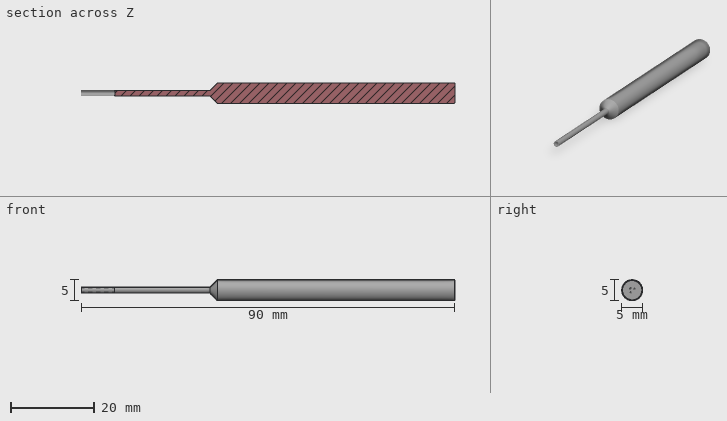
import cadquery as cq

total_length = 90.0
shank_diameter = 5.0
tip_diameter = 1.4
tip_length = 31.0
end_chamfer = 0.2
bore_diameter = 1.0
bore_depth = 8.0

shank_radius = shank_diameter / 2
tip_radius = tip_diameter / 2
shoulder_end = tip_length + shank_radius - tip_radius

half_outline = (
    cq.Workplane("XY")
    .moveTo(0, 0)
    .lineTo(0, tip_radius)
    .lineTo(tip_length, tip_radius)
    .lineTo(shoulder_end, shank_radius)
    .lineTo(total_length - end_chamfer, shank_radius)
    .lineTo(total_length, shank_radius - end_chamfer)
    .lineTo(total_length, 0)
    .close()
)

pin = half_outline.revolve(360, (0, 0, 0), (1, 0, 0))

bore = cq.Workplane("YZ").circle(bore_diameter / 2).extrude(bore_depth)

result = pin.cut(bore)